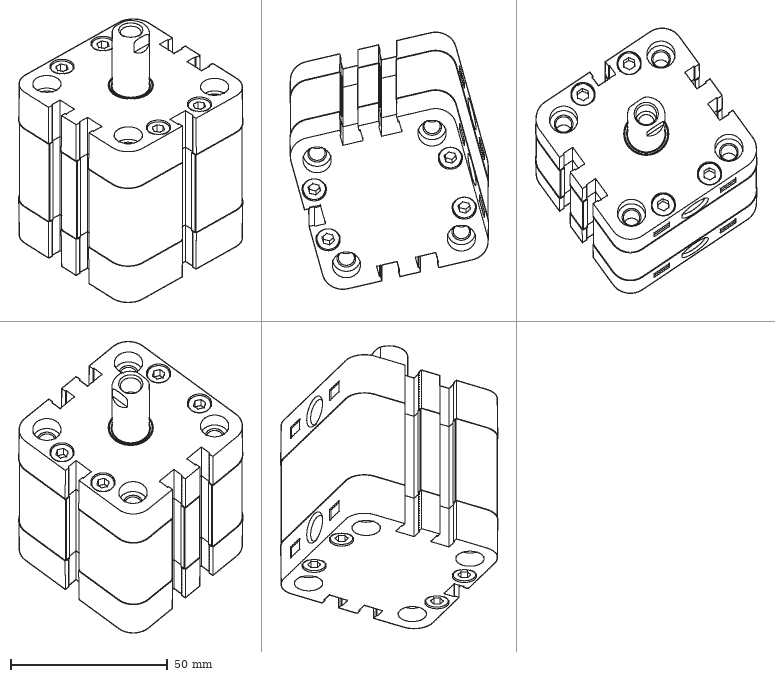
import cadquery as cq
import math

TOTAL_HEIGHT = 82.0
CAP_HEIGHT = 14.5
BARREL_HEIGHT = 31.0
BODY_HEIGHT = BARREL_HEIGHT + 2 * CAP_HEIGHT

BARREL_WIDTH = 54.4
CAP_WIDTH = 54.8
CAP_DRAFT = 0.56
CORNER_CENTER = 20.5

SLOT_OFFSET = 6.4
SLOT_FLOOR = 21.9
SLOT_WIDTH = 6.7
SLOT_LIP_FACE = 25.5
BARREL_SLOT_OPENING = 5.5
CAP_SLOT_OPENING = 6.0
BARREL_SLOT_CHAMFER = 0.25

MOUNT_SPACING = 38.0
MOUNT_BORE_DIAMETER = 9.0
MOUNT_BORE_DEPTH = 5.0
MOUNT_THREAD_DIAMETER = 5.2
MOUNT_THREAD_CHAMFER = 0.4

SCREW_X = 22.5
SCREW_Y = 9.0
SCREW_RECESS_DIAMETER = 7.7
SCREW_HEAD_DIAMETER = 7.2
SCREW_RECESS_DEPTH = 0.5
SCREW_GAP_DEPTH = 1.0
HEX_ACROSS_FLATS = 3.5
HEX_DEPTH = 3.0

LABEL_OFFSET = 12.95
LABEL_WIDTH = 6.1
LABEL_HEIGHT = 4.0
LABEL_CENTER = 7.4
LABEL_DEPTH = 0.6

PORT_HEIGHT = 8.0
PORT_DIAMETER = 8.5
PORT_CHAMFER = 1.0
CHAMBER_DIAMETER = 40.0

GROOVE_DIAMETER = 14.4
GROOVE_BOTTOM_DIAMETER = 14.0
GROOVE_DEPTH = 0.4
LIP_DIAMETER = 13.7
RECESS_FLOOR_DIAMETER = 12.55
RECESS_DEPTH = 0.3

ROD_DIAMETER = 12.0
ROD_FILLET = 1.2
FLAT_SPACING = 10.0
FLAT_LENGTH = 4.4
ROD_MOUTH_DIAMETER = 7.7
ROD_MOUTH_DEPTH = 0.9
ROD_BORE_DIAMETER = 6.65
ROD_BORE_DEPTH = 8.0
ROD_DRILL_DIAMETER = 4.9
ROD_DRILL_DEPTH = 20.0


def cylinder(diameter, bottom, height, x=0.0, y=0.0):
    """Upright cylinder standing at height bottom."""
    return cq.Workplane("XY", origin=(x, y, bottom)).circle(diameter / 2).extrude(height)


def cone(bottom_diameter, top_diameter, bottom, height, x=0.0, y=0.0):
    """Upright truncated cone standing at height bottom."""
    solid = cq.Solid.makeCone(
        bottom_diameter / 2, top_diameter / 2, height, pnt=cq.Vector(x, y, bottom)
    )
    return cq.Workplane(obj=solid)


def slot_cutter(opening):
    """Full-height undercut slot in the +X side, centred on Y = 0."""
    channel = cq.Workplane("XY").box(
        SLOT_LIP_FACE - SLOT_FLOOR, SLOT_WIDTH, BODY_HEIGHT, centered=(False, True, False)
    )
    mouth = cq.Workplane("XY").box(
        CAP_WIDTH - SLOT_FLOOR, opening, BODY_HEIGHT, centered=(False, True, False)
    )
    return channel.union(mouth).translate((SLOT_FLOOR, 0, 0))


def lip_chamfer_cutter():
    """Full-height wedge that bevels the outer lip edges of a barrel slot in the +X side."""
    side = BARREL_WIDTH / 2
    inner_half = BARREL_SLOT_OPENING / 2
    outer_half = inner_half + BARREL_SLOT_CHAMFER
    return (
        cq.Workplane("XY")
        .moveTo(side - BARREL_SLOT_CHAMFER, -inner_half)
        .lineTo(side, -outer_half)
        .lineTo(side, outer_half)
        .lineTo(side - BARREL_SLOT_CHAMFER, inner_half)
        .close()
        .extrude(BODY_HEIGHT)
    )


def cut_slots(body, slot):
    """Cut one slot in the +X side and two in each of the -Y and +Y sides."""
    body = body.cut(slot)
    for offset in (-SLOT_OFFSET, SLOT_OFFSET):
        for angle in (-90, 90):
            body = body.cut(slot.translate((0, offset, 0)).rotate((0, 0, 0), (0, 0, 1), angle))
    return body


def rounded_block(width, bottom, height, taper=0.0):
    """Square block with rounded vertical edges, narrowing upwards by the taper angle."""
    sketch = cq.Sketch().rect(width, width).vertices().fillet(width / 2 - CORNER_CENTER)
    return cq.Workplane("XY", origin=(0, 0, bottom)).placeSketch(sketch).extrude(height, taper=taper)


def cut_mounting_holes(cap):
    """Counterbored, chamfered thread hole in each corner, right through the cap."""
    bore_floor = BODY_HEIGHT - MOUNT_BORE_DEPTH
    chamfer_bottom = bore_floor - MOUNT_THREAD_CHAMFER
    mouth_diameter = MOUNT_THREAD_DIAMETER + 2 * MOUNT_THREAD_CHAMFER
    for x in (-MOUNT_SPACING / 2, MOUNT_SPACING / 2):
        for y in (-MOUNT_SPACING / 2, MOUNT_SPACING / 2):
            cap = cap.cut(cylinder(MOUNT_BORE_DIAMETER, bore_floor, MOUNT_BORE_DEPTH, x, y))
            cap = cap.cut(
                cone(MOUNT_THREAD_DIAMETER, mouth_diameter, chamfer_bottom, MOUNT_THREAD_CHAMFER, x, y)
            )
            cap = cap.cut(cylinder(MOUNT_THREAD_DIAMETER, BODY_HEIGHT - CAP_HEIGHT, CAP_HEIGHT, x, y))
    return cap


def cut_screw_heads(cap):
    """Recess, gap and hexagon socket that shape the four sunk screw heads."""
    head_top = BODY_HEIGHT - SCREW_RECESS_DEPTH
    gap_floor = head_top - SCREW_GAP_DEPTH
    hex_corner_diameter = HEX_ACROSS_FLATS / math.cos(math.pi / 6)
    for x in (-SCREW_X, SCREW_X):
        for y in (-SCREW_Y, SCREW_Y):
            recess = cylinder(SCREW_RECESS_DIAMETER, gap_floor, BODY_HEIGHT - gap_floor, x, y)
            head = cylinder(SCREW_HEAD_DIAMETER, gap_floor, SCREW_GAP_DEPTH, x, y)
            socket = (
                cq.Workplane("XY", origin=(x, y, head_top))
                .transformed(rotate=(0, 0, 90))
                .polygon(6, hex_corner_diameter)
                .extrude(-HEX_DEPTH)
            )
            cap = cap.cut(recess.cut(head)).cut(socket)
    return cap


def cut_port(cap):
    """Chamfered air port in the -X side that ends on the chamber cylinder."""
    side = CAP_WIDTH / 2
    z = BODY_HEIGHT - PORT_HEIGHT
    start = cq.Vector(-side, 0, z)
    inward = cq.Vector(1, 0, 0)
    mouth_radius = PORT_DIAMETER / 2 + PORT_CHAMFER
    bore = cq.Workplane(obj=cq.Solid.makeCylinder(PORT_DIAMETER / 2, side, start, inward))
    mouth = cq.Workplane(
        obj=cq.Solid.makeCone(mouth_radius, PORT_DIAMETER / 2, PORT_CHAMFER, start, inward)
    )
    chamber = cylinder(CHAMBER_DIAMETER, BODY_HEIGHT - CAP_HEIGHT, CAP_HEIGHT)
    return cap.cut(bore.union(mouth).cut(chamber))


def cut_label_pockets(cap):
    """Shallow rectangular pocket on each side of the air port."""
    pocket = cq.Workplane("XY").box(LABEL_DEPTH, LABEL_WIDTH, LABEL_HEIGHT, centered=(False, True, True))
    for y in (-LABEL_OFFSET, LABEL_OFFSET):
        cap = cap.cut(pocket.translate((-CAP_WIDTH / 2, y, BODY_HEIGHT - LABEL_CENTER)))
    return cap


def make_cap():
    """Cap without a rod passage, in the place of the upper cap."""
    cap = rounded_block(CAP_WIDTH, BODY_HEIGHT - CAP_HEIGHT, CAP_HEIGHT, CAP_DRAFT)
    cap = cut_slots(cap, slot_cutter(CAP_SLOT_OPENING))
    cap = cut_mounting_holes(cap)
    cap = cut_screw_heads(cap)
    cap = cut_label_pockets(cap)
    return cut_port(cap)


def wiper_cutters():
    """V groove and conical recess that meet at the edge of the wiper lip."""
    groove = (
        cq.Workplane("XZ")
        .moveTo(LIP_DIAMETER / 2, BODY_HEIGHT)
        .lineTo(GROOVE_BOTTOM_DIAMETER / 2, BODY_HEIGHT - GROOVE_DEPTH)
        .lineTo(GROOVE_DIAMETER / 2, BODY_HEIGHT)
        .close()
        .revolve(360, (0, 0, 0), (0, 1, 0))
    )
    recess = cone(RECESS_FLOOR_DIAMETER, LIP_DIAMETER, BODY_HEIGHT - RECESS_DEPTH, RECESS_DEPTH)
    return [groove, recess]


def make_bearing_cap():
    """Upper cap with the rod passage and its wiper lip."""
    cap = make_cap()
    for cutter in wiper_cutters():
        cap = cap.cut(cutter)
    return cap.cut(cylinder(ROD_DIAMETER, BODY_HEIGHT - CAP_HEIGHT, CAP_HEIGHT))


def make_end_cap():
    """Lower cap, the mirror image of the upper one but closed."""
    return make_cap().mirror("XY", (0, 0, BODY_HEIGHT / 2))


def make_barrel():
    """Extruded profile between the caps."""
    slot = slot_cutter(BARREL_SLOT_OPENING).union(lip_chamfer_cutter())
    return cut_slots(rounded_block(BARREL_WIDTH, CAP_HEIGHT, BARREL_HEIGHT), slot)


def make_rod():
    """Piston rod with rounded end, two wrench flats and a stepped axial hole."""
    rod_bottom = BODY_HEIGHT - CAP_HEIGHT
    rod = cylinder(ROD_DIAMETER, rod_bottom, TOTAL_HEIGHT - rod_bottom).faces(">Z").edges().fillet(ROD_FILLET)

    flat_x = FLAT_SPACING / 2
    flat_bottom = TOTAL_HEIGHT - FLAT_LENGTH
    outer_x = ROD_DIAMETER
    flat = (
        cq.Workplane("XZ")
        .moveTo(flat_x, TOTAL_HEIGHT)
        .lineTo(flat_x, flat_bottom)
        .lineTo(outer_x, flat_bottom - (outer_x - flat_x))
        .lineTo(outer_x, TOTAL_HEIGHT)
        .close()
        .extrude(ROD_DIAMETER / 2, both=True)
    )
    rod = rod.cut(flat).cut(flat.mirror("YZ"))

    step_height = (ROD_BORE_DIAMETER - ROD_DRILL_DIAMETER) / 2
    bore_floor = TOTAL_HEIGHT - ROD_BORE_DEPTH
    rod = rod.cut(cone(ROD_BORE_DIAMETER, ROD_MOUTH_DIAMETER, TOTAL_HEIGHT - ROD_MOUTH_DEPTH, ROD_MOUTH_DEPTH))
    rod = rod.cut(cylinder(ROD_BORE_DIAMETER, bore_floor, ROD_BORE_DEPTH))
    rod = rod.cut(cone(ROD_DRILL_DIAMETER, ROD_BORE_DIAMETER, bore_floor - step_height, step_height))
    return rod.cut(cylinder(ROD_DRILL_DIAMETER, TOTAL_HEIGHT - ROD_DRILL_DEPTH, ROD_DRILL_DEPTH))


bearing_cap = make_bearing_cap()
end_cap = make_end_cap()
barrel = make_barrel()
piston_rod = make_rod()

result = cq.Compound.makeCompound(
    [bearing_cap.val(), end_cap.val(), barrel.val(), piston_rod.val()]
)